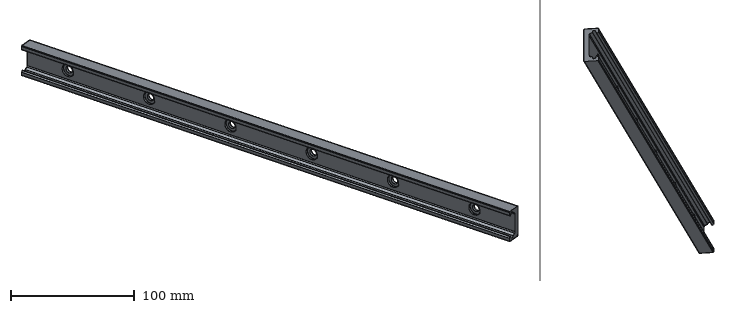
import cadquery as cq

length = 480.0
depth = 12.5
height = 28.0
half_height = height / 2
back = depth / 2
outer_chamfer = 0.6

web_thickness = 4.5
root_thickness = 6.0
root_end = 5.0
root_end_thickness = 4.55
groove_start_thickness = 3.5
groove_start = 7.0
groove_middle = 8.4
groove_end = 10.0
groove_thickness = 2.0
groove_end_thickness = 3.5
lip_peak = 11.0
lip_thickness = 4.55
tip_thickness = 3.5

hole_count = 6
hole_pitch = length / hole_count
hole_diameter = 6.0
counterbore_diameter = 11.0
counterbore_depth = 2.0


def flange_point(from_back, thickness):
    """Section point on the inner face of the upper flange."""
    return (back - from_back, half_height - thickness)


def make_rail():
    """Extrude the upper half of the C section along X and mirror it downward."""
    web_face = back - web_thickness
    upper_half = (
        cq.Workplane("YZ", origin=(-length / 2, 0, 0))
        .moveTo(back, 0)
        .lineTo(*flange_point(0, outer_chamfer))
        .lineTo(*flange_point(outer_chamfer, 0))
        .lineTo(*flange_point(depth - outer_chamfer, 0))
        .lineTo(*flange_point(depth, outer_chamfer))
        .lineTo(*flange_point(depth, tip_thickness))
        .lineTo(*flange_point(lip_peak, lip_thickness))
        .lineTo(*flange_point(groove_end, groove_end_thickness))
        .threePointArc(
            flange_point(groove_middle, groove_thickness),
            flange_point(groove_start, groove_start_thickness),
        )
        .lineTo(*flange_point(root_end, root_end_thickness))
        .lineTo(*flange_point(web_thickness, root_thickness))
        .lineTo(web_face, 0)
        .close()
        .extrude(length)
    )
    return upper_half.union(upper_half.mirror("XY")).clean()


def cut_mounting_holes(rail):
    """Cut a row of through holes, counterbored from the web's front face."""
    web_face = back - web_thickness
    first_hole = (hole_pitch - length) / 2
    centers = [(first_hole + index * hole_pitch, 0) for index in range(hole_count)]
    seat = cq.Workplane("XZ", origin=(0, web_face, 0)).pushPoints(centers)
    holes = seat.circle(hole_diameter / 2).extrude(-web_thickness)
    counterbores = seat.circle(counterbore_diameter / 2).extrude(-counterbore_depth)
    return rail.cut(holes).cut(counterbores)


result = cut_mounting_holes(make_rail())